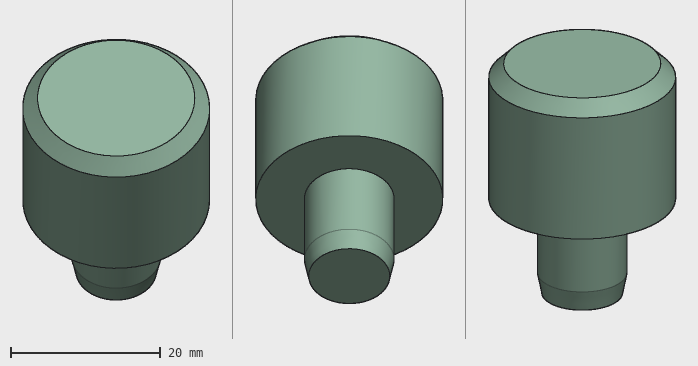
import cadquery as cq
import math

head_diameter = 25.0
head_height = 20.0
head_chamfer = 2.0
stem_diameter = 12.0
stem_length = 14.0
lead_in_length = 3.0
lead_in_angle = 11.0

head_radius = head_diameter / 2
stem_radius = stem_diameter / 2
tip_radius = stem_radius - lead_in_length * math.tan(math.radians(lead_in_angle))


def make_head():
    """Round head with a chamfered top rim."""
    head = cq.Workplane("XY").circle(head_radius).extrude(head_height)
    return head.faces(">Z").edges().chamfer(head_chamfer)


def make_stem():
    """Locating stem below the head, tapering to a lead-in at its tip."""
    profile = [
        (0, 0),
        (stem_radius, 0),
        (stem_radius, lead_in_length - stem_length),
        (tip_radius, -stem_length),
        (0, -stem_length),
    ]
    axis_start = (0, 0)
    axis_end = (0, 1)
    return cq.Workplane("XZ").polyline(profile).close().revolve(360, axis_start, axis_end)


result = make_head().union(make_stem())